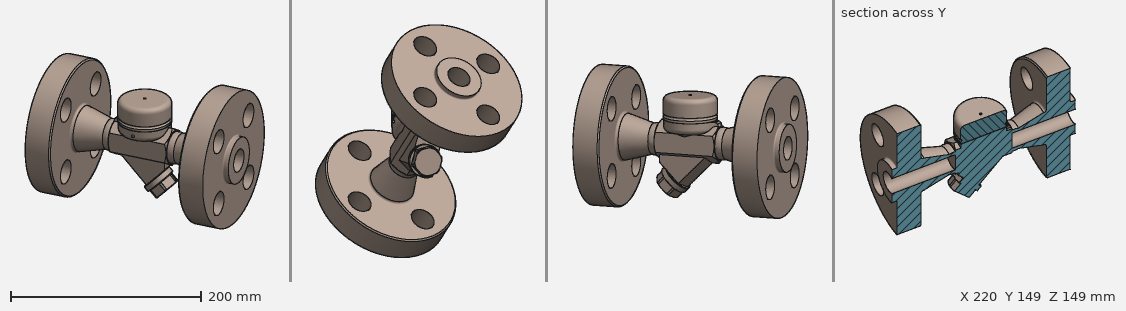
import cadquery as cq
import math

OVERALL_LENGTH = 220.0
HALF_LENGTH = OVERALL_LENGTH / 2

FLANGE_DIAMETER = 149.0
FLANGE_OUTER_X = 103.8
FLANGE_INNER_X = 74.8
FLANGE_EDGE_CHAMFER = 1.5
RAISED_FACE_DIAMETER = 50.8
RAISED_FACE_FILLET = 1.5
BOLT_HOLE_DIAMETER = 26.0
BOLT_CIRCLE_DIAMETER = 101.6
BOLT_HOLE_COUNT = 4
FIRST_BOLT_ANGLE = 180 / BOLT_HOLE_COUNT
BORE_DIAMETER = 25.0

HUB_LARGE_RADIUS = 24.9
HUB_LARGE_X = 71.7
HUB_ROOT_RADIUS = 27.3
HUB_SMALL_RADIUS = 16.5
HUB_SMALL_X = 41.5
NECK_DIAMETER = 34.0
BEAD_CREST_X = 37.5
BEAD_CREST_RADIUS = 17.4

BLOCK_LENGTH = 68.2
BLOCK_ACROSS_FLATS = 37.5
BLOCK_CORNER_RADIUS = BLOCK_ACROSS_FLATS / 2 / math.cos(math.radians(30))
BLOCK_END_RADIUS = 18.3
BLOCK_CHAMFER_ANGLE = 30.0

LEG_ANGLE = 45.0
LEG_AXIS_X = -24.5
LEG_END = 54.0
LEG_CORNER_RADIUS = 15.5
LEG_HALF_THICKNESS = LEG_CORNER_RADIUS * math.cos(math.radians(30))
LEG_SIDE_LIMIT_X = 29.7

PLUG_COLLAR_DIAMETER = 34.0
PLUG_COLLAR_LENGTH = 6.8
PLUG_COLLAR_CHAMFER = 0.7
PLUG_HEX_ACROSS_FLATS = 28.4
PLUG_HEX_CORNER_DIAMETER = 31.5
PLUG_RELIEF_DIAMETER = 27.3
PLUG_RELIEF_LENGTH = 0.7
PLUG_HEX_LENGTH = 10.3
PLUG_HEX_CHAMFER = 1.0

DOME_DIAMETER = 56.0
DOME_TOP_Z = 24.0
DOME_ROUND_Z = 16.5
DOME_ROUND_RADIUS = 5.5
DOME_NECK_RADIUS = BLOCK_ACROSS_FLATS / 2
DOME_NECK_Z = 8.1
PIP_DIAMETER = 3.0
PIP_Z = 17.8
PIP_CENTRE_Y = -28.5

LUG_WIDTH = 10.1
LUG_TOP_Z = 23.0
LUG_SHOULDER_Z = 21.5
LUG_BASE_Z = 16.7
LUG_BASE_X = -34.0
LUG_SHOULDER_X = -32.8
LUG_TOP_X = -30.8
LUG_FILLET = 3.7

CAP_DIAMETER = 57.5
CAP_TOP_Z = 49.3
CAP_FILLET = 5.5
GROOVE_RADIUS = 1.5
GROOVE_Z = 28.4
NUB_DIAMETER = 2.2
NUB_HEIGHT = 0.7


def revolve_about_z(profile):
    """Turn a closed radius-height profile about the Z axis."""
    return profile.revolve(360, (0, 0, 0), (0, 1, 0))


def make_end():
    """Make the +X flange with its raised face, tapered hub and neck."""
    flange_radius = FLANGE_DIAMETER / 2
    face_radius = RAISED_FACE_DIAMETER / 2
    neck_radius = NECK_DIAMETER / 2
    block_end = BLOCK_LENGTH / 2
    profile = (
        cq.Workplane("XY")
        .moveTo(0, 0)
        .lineTo(HALF_LENGTH, 0)
        .lineTo(HALF_LENGTH, face_radius)
        .lineTo(FLANGE_OUTER_X + RAISED_FACE_FILLET, face_radius)
        .radiusArc((FLANGE_OUTER_X, face_radius + RAISED_FACE_FILLET), RAISED_FACE_FILLET)
        .lineTo(FLANGE_OUTER_X, flange_radius)
        .lineTo(FLANGE_INNER_X + FLANGE_EDGE_CHAMFER, flange_radius)
        .lineTo(FLANGE_INNER_X, flange_radius - FLANGE_EDGE_CHAMFER)
        .lineTo(FLANGE_INNER_X, HUB_ROOT_RADIUS)
        .tangentArcPoint((HUB_LARGE_X, HUB_LARGE_RADIUS), relative=False)
        .lineTo(HUB_SMALL_X, HUB_SMALL_RADIUS)
        .threePointArc((BEAD_CREST_X, BEAD_CREST_RADIUS), (block_end, neck_radius))
        .lineTo(0, neck_radius)
        .close()
    )
    end = profile.revolve(360, (0, 0, 0), (1, 0, 0))
    bolt_holes = (
        cq.Workplane("YZ", origin=(FLANGE_INNER_X, 0, 0))
        .polarArray(BOLT_CIRCLE_DIAMETER / 2, FIRST_BOLT_ANGLE, 360, BOLT_HOLE_COUNT)
        .circle(BOLT_HOLE_DIAMETER / 2)
        .extrude(FLANGE_OUTER_X - FLANGE_INNER_X)
    )
    return end.cut(bolt_holes)


def make_block():
    """Make the hexagonal centre block with conically chamfered ends."""
    half = BLOCK_LENGTH / 2
    hexagon = (
        cq.Workplane("YZ", origin=(-half, 0, 0))
        .transformed(rotate=(0, 0, 90))
        .polygon(6, 2 * BLOCK_CORNER_RADIUS)
        .extrude(BLOCK_LENGTH)
    )
    cone_radius = BLOCK_END_RADIUS + half / math.tan(math.radians(BLOCK_CHAMFER_ANGLE))
    double_cone = (
        cq.Workplane("XY")
        .polyline([
            (-half, 0),
            (-half, BLOCK_END_RADIUS),
            (0, cone_radius),
            (half, BLOCK_END_RADIUS),
            (half, 0),
        ])
        .close()
        .revolve(360, (0, 0, 0), (1, 0, 0))
    )
    return hexagon.intersect(double_cone)


def leg_plane(distance):
    """Plane across the leg axis at a distance along it, with local x pointing up and toward +X."""
    slope = math.radians(LEG_ANGLE)
    origin = (LEG_AXIS_X + distance * math.cos(slope), 0, -distance * math.sin(slope))
    return cq.Plane(
        origin=origin,
        xDir=(math.sin(slope), 0, math.cos(slope)),
        normal=(math.cos(slope), 0, -math.sin(slope)),
    )


def make_leg():
    """Make the leg: a wedge-edged slab whose upper side runs into the centre block."""
    reach = BLOCK_LENGTH
    edge = LEG_CORNER_RADIUS / 2
    slab = (
        cq.Workplane(leg_plane(0))
        .polyline([
            (-LEG_CORNER_RADIUS, 0),
            (-edge, -LEG_HALF_THICKNESS),
            (reach, -LEG_HALF_THICKNESS),
            (reach, LEG_HALF_THICKNESS),
            (-edge, LEG_HALF_THICKNESS),
        ])
        .close()
        .extrude(LEG_END)
    )
    allowed = cq.Workplane("XY").box(2 * reach, reach, reach, centered=(False, True, False))
    allowed = allowed.translate((LEG_SIDE_LIMIT_X - 2 * reach, 0, -reach))
    return slab.intersect(allowed)


def make_plug():
    """Make the round collar, narrow relief and hexagonal head on the end of the leg."""
    collar = (
        cq.Workplane(leg_plane(LEG_END))
        .circle(PLUG_COLLAR_DIAMETER / 2)
        .extrude(PLUG_COLLAR_LENGTH)
        .faces("<(1, 0, -1)")
        .chamfer(PLUG_COLLAR_CHAMFER)
    )
    collar_end = LEG_END + PLUG_COLLAR_LENGTH
    relief = (
        cq.Workplane(leg_plane(collar_end))
        .circle(PLUG_RELIEF_DIAMETER / 2)
        .extrude(PLUG_RELIEF_LENGTH)
    )
    head_plane = leg_plane(collar_end + PLUG_RELIEF_LENGTH)
    hexagon = (
        cq.Workplane(head_plane)
        .transformed(rotate=(0, 0, 30))
        .polygon(6, PLUG_HEX_ACROSS_FLATS, circumscribed=True)
        .extrude(PLUG_HEX_LENGTH)
    )
    rounding = (
        cq.Workplane(head_plane)
        .circle(PLUG_HEX_CORNER_DIAMETER / 2)
        .extrude(PLUG_HEX_LENGTH)
        .faces(">(1, 0, -1)")
        .chamfer(PLUG_HEX_CHAMFER)
    )
    return collar.union(relief).union(hexagon.intersect(rounding))


def make_dome():
    """Make the round seat for the cap, with its side pip and its lug."""
    radius = DOME_DIAMETER / 2
    round_end = (radius - DOME_ROUND_RADIUS, DOME_ROUND_Z - DOME_ROUND_RADIUS)
    dome = revolve_about_z(
        cq.Workplane("XZ")
        .moveTo(0, 0)
        .lineTo(0, DOME_TOP_Z)
        .lineTo(radius, DOME_TOP_Z)
        .lineTo(radius, DOME_ROUND_Z)
        .tangentArcPoint(round_end, relative=False)
        .tangentArcPoint((DOME_NECK_RADIUS, DOME_NECK_Z), relative=False)
        .lineTo(DOME_NECK_RADIUS, 0)
        .close()
    )
    lug = (
        cq.Workplane("XZ")
        .polyline([
            (0, LUG_BASE_Z),
            (LUG_BASE_X, LUG_BASE_Z),
            (LUG_SHOULDER_X, LUG_SHOULDER_Z),
            (LUG_TOP_X, LUG_TOP_Z),
            (0, LUG_TOP_Z),
        ])
        .close()
        .extrude(LUG_WIDTH / 2, both=True)
    )
    pip = cq.Workplane("XY").sphere(PIP_DIAMETER / 2).translate((0, PIP_CENTRE_Y, PIP_Z))
    lug_roots = cq.selectors.BoxSelector(
        (-radius - LUG_FILLET, -LUG_WIDTH, LUG_BASE_Z), (-radius + LUG_FILLET, LUG_WIDTH, LUG_TOP_Z)
    )
    return dome.union(lug).edges("|Z").edges(lug_roots).fillet(LUG_FILLET).union(pip)


def make_bore():
    """Make the blind flow bore of the +X end, reaching in to the centre block."""
    block_end = BLOCK_LENGTH / 2
    return (
        cq.Workplane("YZ", origin=(block_end, 0, 0))
        .circle(BORE_DIAMETER / 2)
        .extrude(HALF_LENGTH - block_end)
    )


def make_valve_body():
    """Join block, leg, plug, dome and both flanged ends into one solid."""
    body = make_block().union(make_leg()).union(make_plug()).union(make_dome())
    end = make_end()
    body = body.union(end).union(end.mirror("YZ"))
    bore = make_bore()
    return body.cut(bore).cut(bore.mirror("YZ"))


def make_cap():
    """Make the round cap that sits on the dome."""
    radius = CAP_DIAMETER / 2
    cap = (
        cq.Workplane("XY", origin=(0, 0, DOME_TOP_Z))
        .circle(radius)
        .extrude(CAP_TOP_Z - DOME_TOP_Z)
        .faces(">Z")
        .edges()
        .fillet(CAP_FILLET)
    )
    groove = revolve_about_z(cq.Workplane("XZ").moveTo(radius, GROOVE_Z).circle(GROOVE_RADIUS))
    nub = cq.Workplane("XY", origin=(0, 0, CAP_TOP_Z)).circle(NUB_DIAMETER / 2).extrude(NUB_HEIGHT)
    return cap.cut(groove).union(nub)


valve_body = make_valve_body()
cap = make_cap()

result = cq.Compound.makeCompound([valve_body.val(), cap.val()])